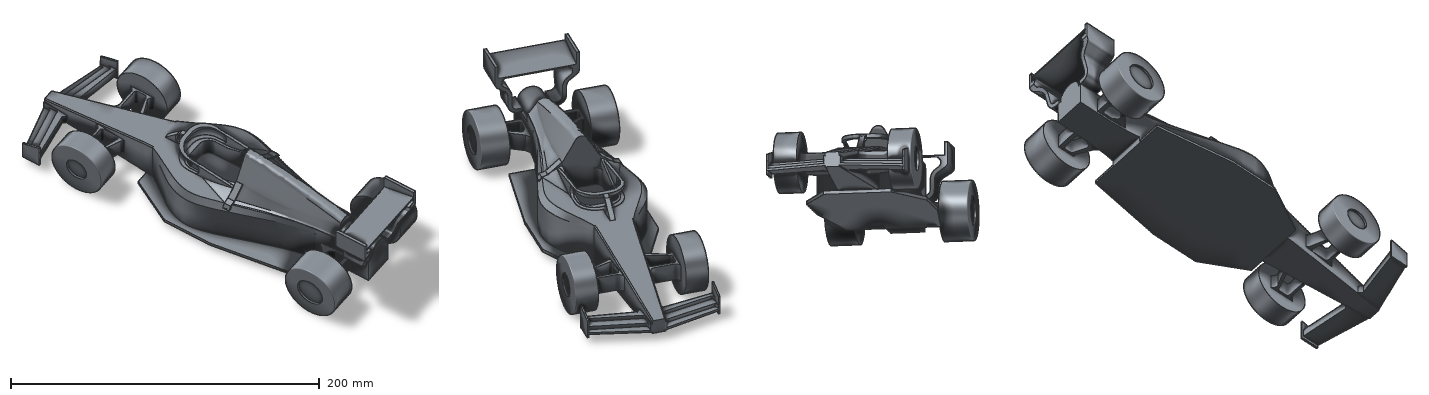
import cadquery as cq

OVERALL_LENGTH = 268.29
OVERALL_WIDTH = 94.8
OVERALL_HEIGHT = 67.31

JOINT_OVERLAP = 1.0

BODY_BOTTOM = 6.7
SHOULDER_Z = 31.3
DECK_Z = 35.8
COCKPIT_FLOOR_Z = 23.0

WING_ROOT_REAR = 19.7
NOSE_CREASE_X = 83.4
NOSE_END_X = 91.1
HOOP_X = 156.5
FLOOR_END_X = 210.6
TUB_END_X = 218.1
COVER_END_X = 232.6
GEARBOX_END_X = 258.8

WHEEL_RADIUS = 19.7
FRONT_AXLE_X = 53.2
REAR_AXLE_X = 237.6
WHEEL_EDGE = 0.6
HUB_DEPTH = 1.6
FRONT_WHEEL_OUTER = 45.6
FRONT_WHEEL_INNER = 30.0
REAR_WHEEL_OUTER = OVERALL_WIDTH / 2
REAR_WHEEL_INNER = 28.0
FRONT_HUB_RADIUS = 7.9
REAR_HUB_RADIUS = 9.7

ARM_BOTTOM = 12.5
ARM_TOP = 24.5
ARM_CORNER = 2.0

NOSE_TIP_HALF = 4.6
NOSE_TIP_BOTTOM = 6.0
NOSE_TIP_TOP = 15.7
NOSE_CHAMFER = 0.8
NOSE_CREASE_HALF = 12.6
NOSE_CREASE_TOP = 34.2
NOSE_END_HALF = 13.6
SHOULDER_INSET = 3.6
TUB_END_HALF = 12.2
GEARBOX_HALF = 11.2
GEARBOX_BOTTOM = 10.7
GEARBOX_TOP = 29.4
EXHAUST_RADIUS = 9.0

COVER_SPINE_HALF = 4.4
COVER_MIDDLE_X = 200.0
COVER_SPINE_Z = (59.2, 52.3, 43.6)
COVER_CROWN_Z = (62.3, 54.6, 45.4)
HOOP_LIP_LENGTH = 5.0

COCKPIT_FRONT = 114.5
COCKPIT_HALF = 13.2
COCKPIT_FRONT_CORNER = 7.5
COCKPIT_REAR_CORNER = 5.0
HALO_FRONT = 107.3
HALO_HALF = 16.8
HALO_CORNER = 14.0
HALO_INNER_FRONT = 110.7
HALO_INNER_HALF = 14.8
HALO_STRUT_FOOT_X = 93.0
HALO_STRUT_HALF = 1.8
HALO_TOP = 47.6
HALO_REAR_Z = 41.0
HALO_WINDOW = (101.0, 129.6)
HALO_WINDOW_BOTTOM = DECK_Z + 0.3
HALO_WINDOW_TOP = 45.2
HALO_WINDOW_ROUNDING = 0.4
COWL_FRONT_X = 132.0
COWL_REAR_HALF = 26.6
COWL_REAR_TOP = 42.5

FRONT_WING_BOTTOM = 6.9
FRONT_WING_TOP = 13.4
FRONT_STEPS = ((5.6, 14.2, 8.4), (11.5, 20.0, 10.9))
FRONT_WING_TIP_FRONT = 10.9
FRONT_WING_TIP = 45.5
FRONT_WING_TIP_REAR = 23.0
FRONT_PLATE = 1.2
FRONT_PLATE_X = (10.7, 23.9)
FRONT_PLATE_BOTTOM = 4.6
FRONT_PLATE_TOP = (17.6, 21.2)
FRONT_STEP_CORNER = 2.0
FRONT_STEP_ROOT_Y = 5.6

REAR_WING_FRONT = 245.2
REAR_WING_HALF = 28.9
REAR_PLATE = 2.0
REAR_PLATE_BOTTOM = 54.3
PYLON_OUTER = 20.0
PYLON_INNER = 17.2
PYLON_FOOT_Z = 35.7
PYLON_BEND_Z = 42.3
BLADE_FRONT_Z = 58.2
BLADE_REAR_Z = 63.0
BLADE_THICKNESS = 0.9

FLOOR_BOTTOM = 4.5


def both_sides(solid):
    return solid.union(solid.mirror("XZ"))


def prism_xy(points, bottom, top):
    return cq.Workplane("XY", origin=(0, 0, bottom)).polyline(points).close().extrude(top - bottom)


def prism_xz(points, half_width):
    return cq.Workplane("XZ").polyline(points).close().extrude(half_width, both=True)


def mirrored(points):
    """Close a half plan on the +Y side with its reflection."""
    return points + [(x, -y) for x, y in reversed(points)]


def box(x_range, y_range, z_range):
    size = [b - a for a, b in (x_range, y_range, z_range)]
    corner = (x_range[0], y_range[0], z_range[0])
    return cq.Workplane("XY").box(*size, centered=False).translate(corner)


def make_floor():
    half_plan = [(85.7, 22.2), (118.1, 39.7), (153.8, 39.7), (FLOOR_END_X, 31.0)]
    return prism_xy(mirrored(half_plan), FLOOR_BOTTOM, BODY_BOTTOM)


def nose_section(x, half_width, bottom, top):
    """Rectangular section with its two upper corners chamfered."""
    half = [
        (half_width, bottom),
        (half_width, top - NOSE_CHAMFER),
        (half_width - NOSE_CHAMFER, top),
    ]
    other_half = [(-y, z) for y, z in reversed(half)]
    return cq.Workplane("YZ", origin=(x, 0, 0)).polyline(half + other_half).close().wire().val()


def make_nose():
    sections = [
        nose_section(0, NOSE_TIP_HALF, NOSE_TIP_BOTTOM, NOSE_TIP_TOP),
        nose_section(NOSE_CREASE_X, NOSE_CREASE_HALF, BODY_BOTTOM, NOSE_CREASE_TOP),
        nose_section(NOSE_END_X, NOSE_END_HALF, BODY_BOTTOM, DECK_Z),
    ]
    return cq.Workplane(obj=cq.Solid.makeLoft(sections, True))


def tub_outline(level, inset):
    """Bulged plan of the tub, narrowed by an inset that fades out at both ends."""
    points = [
        (NOSE_END_X, NOSE_END_HALF),
        (102.0, 21.0 - inset / 2),
        (114.0, 29.6 - inset),
        (130.6, 35.3 - inset),
        (150.0, 32.2 - inset),
        (180.0, 21.9 - inset / 2),
        (208.0, 13.8 - inset / 8),
        (TUB_END_X, TUB_END_HALF),
    ]
    lower = [(x, -y) for x, y in reversed(points)]
    return (
        cq.Workplane("XY", origin=(0, 0, level))
        .moveTo(*points[0])
        .spline(points[1:], includeCurrent=True)
        .lineTo(*lower[0])
        .spline(lower[1:], includeCurrent=True)
        .close()
        .wire()
    )


def make_tub():
    wall = tub_outline(BODY_BOTTOM, 0).extrude(SHOULDER_Z - BODY_BOTTOM)
    wires = [tub_outline(SHOULDER_Z, 0).val(), tub_outline(DECK_Z, SHOULDER_INSET).val()]
    shoulder = cq.Workplane(obj=cq.Solid.makeLoft(wires, True))
    undercut = box(
        (FLOOR_END_X, TUB_END_X),
        (-OVERALL_WIDTH / 2, OVERALL_WIDTH / 2),
        (0, GEARBOX_BOTTOM),
    )
    return wall.union(shoulder).cut(undercut)


def make_gearbox():
    half_plan = [(TUB_END_X, TUB_END_HALF), (COVER_END_X, GEARBOX_HALF), (GEARBOX_END_X, GEARBOX_HALF)]
    block = prism_xy(mirrored(half_plan), GEARBOX_BOTTOM, GEARBOX_TOP)
    upper_plan = [(TUB_END_X, TUB_END_HALF), (COVER_END_X, GEARBOX_HALF)]
    upper = prism_xy(mirrored(upper_plan), GEARBOX_TOP, DECK_Z)
    exhaust = (
        cq.Workplane("YZ", origin=(TUB_END_X, 0, GEARBOX_TOP))
        .circle(EXHAUST_RADIUS)
        .extrude(GEARBOX_END_X - TUB_END_X)
    )
    return block.union(upper).union(exhaust)


def cover_section(x, flank, spine_z, crown_z):
    """Closed section with straight flanks and an arched spine."""
    left = [(-y, z) for y, z in flank]
    return (
        cq.Workplane("YZ", origin=(x, 0, 0))
        .polyline(left + [(-COVER_SPINE_HALF, spine_z)])
        .threePointArc((0, crown_z), (COVER_SPINE_HALF, spine_z))
        .polyline(list(reversed(flank)), includeCurrent=True)
        .close()
        .wire()
        .val()
    )


def make_engine_cover():
    """Engine cover: a tapering spine with flared flanks, lofted along X."""
    hoop_flank = [(26.6, SHOULDER_Z), (26.0, DECK_Z), (22.8, 36.8), (13.2, 44.3)]
    middle_flank = [(14.8, SHOULDER_Z), (14.5, DECK_Z), (13.2, 36.6), (10.2, 40.8)]
    tail_flank = [(11.1, SHOULDER_Z), (10.8, DECK_Z), (9.6, 36.7), (5.0, 42.4)]
    stations = (HOOP_X, COVER_MIDDLE_X, COVER_END_X)
    flanks = (hoop_flank, middle_flank, tail_flank)
    wires = [cover_section(*section) for section in zip(stations, flanks, COVER_SPINE_Z, COVER_CROWN_Z)]
    return cq.Workplane(obj=cq.Solid.makeLoft(wires, False))


def make_hoop_lips():
    """Slightly raised bands at the foot of the roll hoop."""
    section = [(13.0, 33.0), (28.9, 33.0), (27.2, 36.2), (22.9, 37.1), (13.4, 44.7), (13.0, 44.0)]
    lip = cq.Workplane("YZ", origin=(HOOP_X, 0, 0)).polyline(section).close().extrude(HOOP_LIP_LENGTH)
    return both_sides(lip)


def make_halo():
    """Halo ring and centre strut, shaped in plan and then trimmed to the side outline."""
    ring = box((HALO_FRONT, HOOP_X), (-HALO_HALF, HALO_HALF), (0, OVERALL_HEIGHT))
    ring = ring.edges("|Z and <X").fillet(HALO_CORNER)
    opening = box((HALO_INNER_FRONT, HOOP_X), (-HALO_INNER_HALF, HALO_INNER_HALF), (0, OVERALL_HEIGHT))
    ring = ring.cut(opening.edges("|Z and <X").fillet(HALO_CORNER - HALO_HALF + HALO_INNER_HALF))
    strut = box(
        (HALO_STRUT_FOOT_X, HALO_INNER_FRONT),
        (-HALO_STRUT_HALF, HALO_STRUT_HALF),
        (0, OVERALL_HEIGHT),
    )
    side = [
        (HALO_STRUT_FOOT_X, DECK_Z - JOINT_OVERLAP),
        (HALO_STRUT_FOOT_X, DECK_Z),
        (104.0, 46.4),
        (107.5, HALO_TOP),
        (112.5, HALO_TOP),
        (HOOP_X, HALO_REAR_Z),
        (HOOP_X, DECK_Z - JOINT_OVERLAP),
    ]
    halo = ring.union(strut).intersect(prism_xz(side, HALO_HALF))
    window = box(HALO_WINDOW, (-HALO_HALF, HALO_HALF), (HALO_WINDOW_BOTTOM, HALO_WINDOW_TOP))
    window = window.edges("|Y").fillet((HALO_WINDOW_TOP - HALO_WINDOW_BOTTOM) * HALO_WINDOW_ROUNDING)
    return halo.cut(window)


def make_cowls():
    """Wedges that flare from the halo legs out to the roll hoop."""
    bottom = DECK_Z - JOINT_OVERLAP
    front = [(COCKPIT_HALF, bottom), (HALO_HALF, bottom), (HALO_HALF, DECK_Z), (COCKPIT_HALF, DECK_Z)]
    rear = [
        (COCKPIT_HALF, bottom),
        (COWL_REAR_HALF, bottom),
        (COWL_REAR_HALF, DECK_Z),
        (COCKPIT_HALF, COWL_REAR_TOP),
    ]
    cowl = (
        cq.Workplane("YZ", origin=(COWL_FRONT_X, 0, 0))
        .polyline(front)
        .close()
        .workplane(offset=HOOP_X - COWL_FRONT_X)
        .polyline(rear)
        .close()
        .loft(ruled=True)
    )
    return both_sides(cowl)


def make_cockpit():
    cockpit = box((COCKPIT_FRONT, HOOP_X), (-COCKPIT_HALF, COCKPIT_HALF), (COCKPIT_FLOOR_Z, OVERALL_HEIGHT))
    cockpit = cockpit.edges("|Z and <X").fillet(COCKPIT_FRONT_CORNER)
    return cockpit.edges("|Z and >X").fillet(COCKPIT_REAR_CORNER)


def make_front_wing():
    """Three flat terraces rising rearward, with an upright plate at each tip."""
    plan = [
        (0, NOSE_TIP_HALF),
        (FRONT_WING_TIP_FRONT, FRONT_WING_TIP),
        (FRONT_WING_TIP_REAR, FRONT_WING_TIP),
        (17.0, 9.0),
        (WING_ROOT_REAR, 6.2),
        (WING_ROOT_REAR, NOSE_TIP_HALF),
    ]
    wing = prism_xy(plan, FRONT_WING_BOTTOM, FRONT_WING_TOP)
    tip_y = FRONT_WING_TIP - FRONT_PLATE
    for root_x, tip_x, level in FRONT_STEPS:
        clearance = [
            (-FRONT_WING_TIP_REAR, FRONT_STEP_ROOT_Y),
            (-FRONT_WING_TIP_REAR, tip_y),
            (tip_x, tip_y),
            (root_x, FRONT_STEP_ROOT_Y),
        ]
        cutter = prism_xy(clearance, level, FRONT_WING_TOP)
        wing = wing.cut(cutter.edges("|Z").fillet(FRONT_STEP_CORNER))
    plate_front, plate_rear = FRONT_PLATE_X
    plate_side = [
        (plate_front, FRONT_PLATE_BOTTOM),
        (plate_rear, FRONT_PLATE_BOTTOM),
        (plate_rear, FRONT_PLATE_TOP[1]),
        (plate_front, FRONT_PLATE_TOP[0]),
    ]
    plate = prism_xz(plate_side, FRONT_PLATE / 2).translate((0, FRONT_WING_TIP - FRONT_PLATE / 2, 0))
    return both_sides(wing.union(plate))


def make_rear_wing():
    """Bent pylons trimmed to a raked side outline, joined by an inclined blade."""
    plate_inner = REAR_WING_HALF - REAR_PLATE
    foot = GEARBOX_HALF - JOINT_OVERLAP
    foot_top = GEARBOX_TOP + PYLON_OUTER - PYLON_INNER
    pylon = (
        cq.Workplane("YZ", origin=(REAR_WING_FRONT, 0, 0))
        .moveTo(REAR_WING_HALF, OVERALL_HEIGHT)
        .lineTo(REAR_WING_HALF, 54.0)
        .threePointArc((28.4, 52.0), (27.1, 50.5))
        .lineTo(22.6, 47.35)
        .threePointArc((20.7, 45.1), (PYLON_OUTER, PYLON_BEND_Z))
        .lineTo(PYLON_OUTER, PYLON_FOOT_Z)
        .radiusArc((PYLON_OUTER - PYLON_FOOT_Z + GEARBOX_TOP, GEARBOX_TOP), PYLON_FOOT_Z - GEARBOX_TOP)
        .lineTo(foot, GEARBOX_TOP)
        .lineTo(foot, foot_top)
        .lineTo(PYLON_INNER - PYLON_FOOT_Z + foot_top, foot_top)
        .radiusArc((PYLON_INNER, PYLON_FOOT_Z), foot_top - PYLON_FOOT_Z)
        .lineTo(PYLON_INNER, PYLON_BEND_Z)
        .threePointArc((18.2, 46.4), (21.0, 49.6))
        .lineTo(23.0, 51.0)
        .threePointArc((24.2, 54.6), (21.8, 57.4))
        .lineTo(plate_inner, 58.6)
        .lineTo(plate_inner, OVERALL_HEIGHT)
        .close()
        .extrude(OVERALL_LENGTH - REAR_WING_FRONT)
    )
    rake = [
        (REAR_WING_FRONT, 0),
        (GEARBOX_END_X, 0),
        (GEARBOX_END_X, GEARBOX_TOP),
        (262.3, 42.3),
        (OVERALL_LENGTH, REAR_PLATE_BOTTOM),
        (OVERALL_LENGTH, OVERALL_HEIGHT),
        (REAR_WING_FRONT, OVERALL_HEIGHT),
    ]
    pylons = both_sides(pylon).intersect(prism_xz(rake, REAR_WING_HALF))
    blade = [
        (REAR_WING_FRONT, BLADE_FRONT_Z - BLADE_THICKNESS),
        (OVERALL_LENGTH, BLADE_REAR_Z - BLADE_THICKNESS),
        (OVERALL_LENGTH, BLADE_REAR_Z),
        (REAR_WING_FRONT, BLADE_FRONT_Z),
    ]
    return pylons.union(prism_xz(blade, plate_inner + REAR_PLATE / 2))


def make_arms(arm, window):
    """Pair of V-shaped arms, each pierced by a rounded window."""
    opening = prism_xy(window, ARM_BOTTOM, ARM_TOP).edges("|Z").fillet(ARM_CORNER)
    return both_sides(arm.cut(opening))


def make_front_arms():
    wheel_y = FRONT_WHEEL_INNER + JOINT_OVERLAP
    arm = (
        cq.Workplane("XY", origin=(0, 0, ARM_BOTTOM))
        .moveTo(43.6, 7.0)
        .lineTo(43.6, 9.0)
        .threePointArc((46.2, 10.8), (47.2, 14.0))
        .lineTo(47.2, 26.3)
        .threePointArc((46.4, 28.5), (44.2, 30.0))
        .lineTo(44.2, wheel_y)
        .lineTo(62.6, wheel_y)
        .lineTo(62.6, 30.0)
        .threePointArc((60.6, 28.4), (60.0, 26.0))
        .lineTo(65.4, 13.0)
        .threePointArc((66.8, 11.4), (69.0, 10.6))
        .lineTo(69.0, 8.0)
        .close()
        .extrude(ARM_TOP - ARM_BOTTOM)
    )
    window = [(49.0, 10.4), (63.5, 10.4), (57.6, 28.6), (49.0, 28.6)]
    return make_arms(arm, window)


def make_rear_arms():
    wheel_y = REAR_WHEEL_INNER + JOINT_OVERLAP
    outline = [
        (221.5, 10.0),
        (221.5, 12.4),
        (225.0, 15.0),
        (231.5, 25.6),
        (231.5, wheel_y),
        (244.2, wheel_y),
        (244.2, 10.0),
    ]
    window = [(229.0, 15.4), (233.5, 12.6), (241.4, 12.6), (241.4, 26.6), (234.5, 26.6)]
    return make_arms(prism_xy(outline, ARM_BOTTOM, ARM_TOP), window)


def make_wheels(axle_x, inner, outer, hub_radius):
    wheel = (
        cq.Workplane("XZ", origin=(axle_x, outer, WHEEL_RADIUS))
        .circle(WHEEL_RADIUS)
        .extrude(outer - inner)
        .faces(">Y")
        .edges()
        .fillet(WHEEL_EDGE)
    )
    hub = (
        cq.Workplane("XZ", origin=(axle_x, outer, WHEEL_RADIUS))
        .circle(hub_radius)
        .extrude(HUB_DEPTH)
    )
    return both_sides(wheel.cut(hub))


def make_car():
    car = make_nose().union(make_tub()).union(make_floor())
    car = car.union(make_gearbox()).union(make_engine_cover()).union(make_hoop_lips())
    car = car.union(make_halo()).union(make_cowls())
    car = car.cut(make_cockpit())
    car = car.union(make_front_wing()).union(make_rear_wing())
    car = car.union(make_front_arms()).union(make_rear_arms())
    car = car.union(make_wheels(FRONT_AXLE_X, FRONT_WHEEL_INNER, FRONT_WHEEL_OUTER, FRONT_HUB_RADIUS))
    return car.union(make_wheels(REAR_AXLE_X, REAR_WHEEL_INNER, REAR_WHEEL_OUTER, REAR_HUB_RADIUS))


result = make_car()